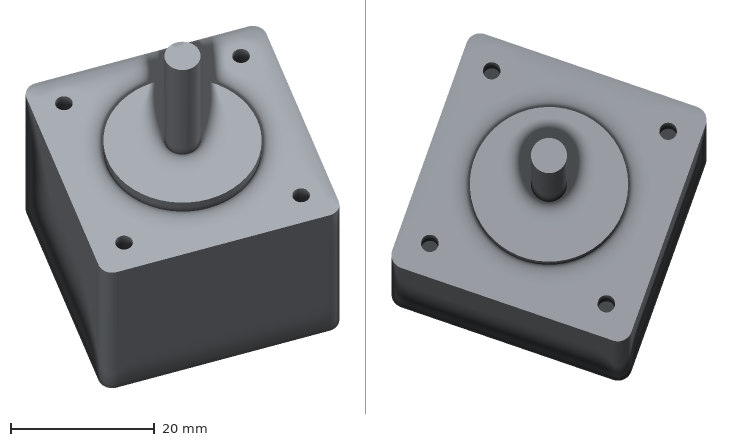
import cadquery as cq

total_length = 57.0
body_width = 35.2
body_height = 26.0
corner_radius = 2.0

boss_diameter = 22.0
boss_height = 2.0

shaft_diameter = 5.0
rear_shaft_length = 10.0
shaft_bottom = -body_height - rear_shaft_length

hole_diameter = 2.45
hole_spacing = 26.0
hole_depth = 4.0


def make_body():
    """Square motor body with rounded vertical edges."""
    block = cq.Workplane("XY").rect(body_width, body_width).extrude(-body_height)
    return block.edges("|Z").fillet(corner_radius)


def make_cylinder(diameter, bottom, height):
    """Cylinder on the motor axis, rising from the given level."""
    return cq.Workplane("XY").workplane(offset=bottom).circle(diameter / 2).extrude(height)


def make_mounting_holes():
    """Four cutters reaching down from the mounting face."""
    pattern = cq.Workplane("XY").rect(hole_spacing, hole_spacing, forConstruction=True).vertices()
    return pattern.circle(hole_diameter / 2).extrude(-hole_depth)


body = make_body().cut(make_mounting_holes())
boss = make_cylinder(boss_diameter, 0, boss_height)
shaft = make_cylinder(shaft_diameter, shaft_bottom, total_length)

result = body.union(boss).union(shaft)